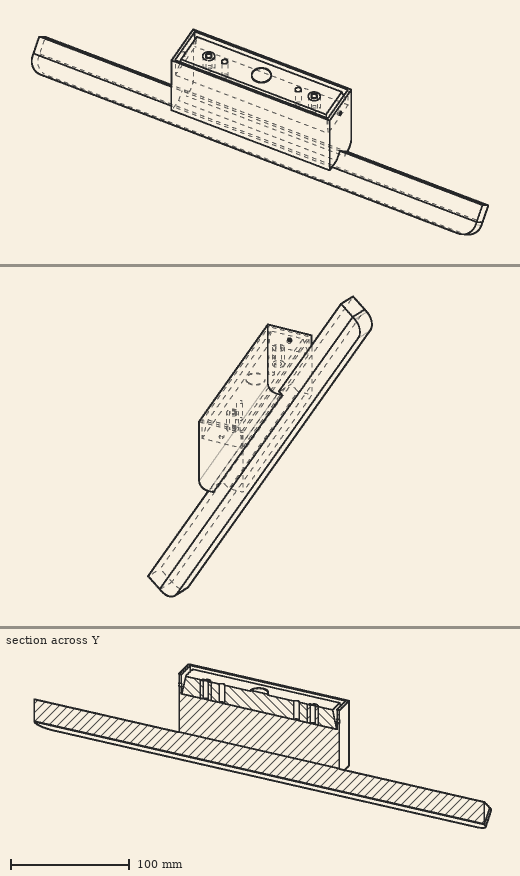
import cadquery as cq
import math


HOUSING_LENGTH = 150.0
HOUSING_DEPTH = 40.0
FRONT_HEIGHT = 62.0
BACK_HEIGHT = 70.0
BACK_CORNER_RADIUS = 8.5
END_WALL = 2.5
SIDE_WALL = 1.5
ACCESS_HOLE_DIAMETER = 3.5
ACCESS_HOLE_DROP = 10.5

RECESS_LENGTH = HOUSING_LENGTH - 2 * END_WALL
RECESS_DEPTH = HOUSING_DEPTH - 2 * SIDE_WALL
PLATE_DROP = 1.0
PLATE_MARGIN = 3.8
PLATE_HEIGHT = 17.5
RECESS_HEIGHT = PLATE_DROP + PLATE_HEIGHT
BOSS_DIAMETER = 16.5

MOUNTING_HOLE_DIAMETER = 5.0
INNER_HOLE_X = 35.0
OUTER_HOLE_X = 50.0

STANDOFF_DIAMETER = 10.0
STANDOFF_COVER = 1.0
STANDOFF_HEIGHT = PLATE_HEIGHT - STANDOFF_COVER

BAR_LENGTH = 420.0
BAR_WIDTH = 30.0
BAR_THICKNESS = 15.5
BAR_TILT = 45
CARRIER_WIDTH = 15.0
DIFFUSER_WIDTH = BAR_WIDTH - CARRIER_WIDTH
DIFFUSER_CORNER_RADIUS = 12.0
OVERALL_HEIGHT = 88.0
BAR_SECTION_HEIGHT = (BAR_WIDTH + BAR_THICKNESS) * math.sin(math.radians(BAR_TILT))
BAR_TOP_Y = -1.15
BAR_TOP_Z = BAR_SECTION_HEIGHT - OVERALL_HEIGHT


def bar_piece(start, width):
    """Upright piece of the bar that begins `start` below the bar's top edge."""
    return (
        cq.Workplane("XY")
        .box(BAR_LENGTH, BAR_THICKNESS, width, centered=(True, False, False))
        .translate((0, 0, -start - width))
    )


def place_bar(piece):
    """Lean a bar piece about its top front edge, lower end to the front, and move it into place."""
    leaning = piece.rotate((0, 0, 0), (1, 0, 0), -BAR_TILT)
    return leaning.translate((0, BAR_TOP_Y, BAR_TOP_Z))


def make_carrier():
    """Upper half of the bar, seated in the housing."""
    return place_bar(bar_piece(0, CARRIER_WIDTH))


def make_diffuser():
    """Lower half of the bar, with rounded free corners."""
    diffuser = bar_piece(CARRIER_WIDTH, DIFFUSER_WIDTH)
    return place_bar(diffuser.edges("|Y and <Z").fillet(DIFFUSER_CORNER_RADIUS))


def make_standoff(side):
    """Tube standing on the recess floor, on the given side (-1 or 1)."""
    return (
        cq.Workplane("XY", origin=(side * OUTER_HOLE_X, 0, -RECESS_HEIGHT))
        .circle(STANDOFF_DIAMETER / 2)
        .circle(MOUNTING_HOLE_DIAMETER / 2)
        .extrude(STANDOFF_HEIGHT)
    )


def make_plate(standoffs):
    """Tapered plate with a central boss level with the rim, four holes and standoff pockets."""
    tapered_block = (
        cq.Workplane("XY", origin=(0, 0, -RECESS_HEIGHT))
        .rect(RECESS_LENGTH, RECESS_DEPTH)
        .workplane(offset=PLATE_HEIGHT)
        .rect(RECESS_LENGTH - 2 * PLATE_MARGIN, RECESS_DEPTH - 2 * PLATE_MARGIN)
        .loft(ruled=True)
    )
    boss = cq.Workplane("XY").circle(BOSS_DIAMETER / 2).extrude(-RECESS_HEIGHT)
    hole_places = [(side * x, 0) for side in (-1, 1) for x in (INNER_HOLE_X, OUTER_HOLE_X)]
    mounting_holes = (
        cq.Workplane("XY")
        .pushPoints(hole_places)
        .circle(MOUNTING_HOLE_DIAMETER / 2)
        .extrude(-RECESS_HEIGHT)
    )
    plate = tapered_block.union(boss).cut(mounting_holes)
    for standoff in standoffs:
        plate = plate.cut(standoff)
    return plate


def housing_block():
    """Solid housing: deeper behind the bar than in front, with a rounded back corner."""
    front = -HOUSING_DEPTH / 2
    back = HOUSING_DEPTH / 2
    return (
        cq.Workplane("YZ", origin=(-HOUSING_LENGTH / 2, 0, 0))
        .moveTo(front, 0)
        .lineTo(front, -FRONT_HEIGHT)
        .lineTo(BAR_TOP_Y, -FRONT_HEIGHT)
        .lineTo(BAR_TOP_Y, -BACK_HEIGHT)
        .lineTo(back - BACK_CORNER_RADIUS, -BACK_HEIGHT)
        .radiusArc((back, -BACK_HEIGHT + BACK_CORNER_RADIUS), -BACK_CORNER_RADIUS)
        .lineTo(back, 0)
        .close()
        .extrude(HOUSING_LENGTH)
    )


def plate_recess():
    """Rectangular recess for the mounting plate, open at the top."""
    return (
        cq.Workplane("XY")
        .rect(RECESS_LENGTH, RECESS_DEPTH)
        .extrude(-RECESS_HEIGHT)
    )


def access_hole(side):
    """Round hole through the end wall on the given side (-1 or 1)."""
    return (
        cq.Workplane("YZ", origin=(side * HOUSING_LENGTH / 2, 0, -ACCESS_HOLE_DROP))
        .circle(ACCESS_HOLE_DIAMETER / 2)
        .extrude(-side * END_WALL)
    )


def make_housing(carrier, diffuser):
    """Housing with the plate recess, a seat for the bar and a hole in each end wall."""
    housing = housing_block().cut(plate_recess()).cut(carrier).cut(diffuser)
    for side in (-1, 1):
        housing = housing.cut(access_hole(side))
    return housing


carrier = make_carrier()
diffuser = make_diffuser()
standoffs = [make_standoff(side) for side in (-1, 1)]
plate = make_plate(standoffs)
housing = make_housing(carrier, diffuser)

result = cq.Compound.makeCompound(
    [
        housing.val(),
        plate.val(),
        carrier.val(),
        diffuser.val(),
        *[standoff.val() for standoff in standoffs],
    ]
)